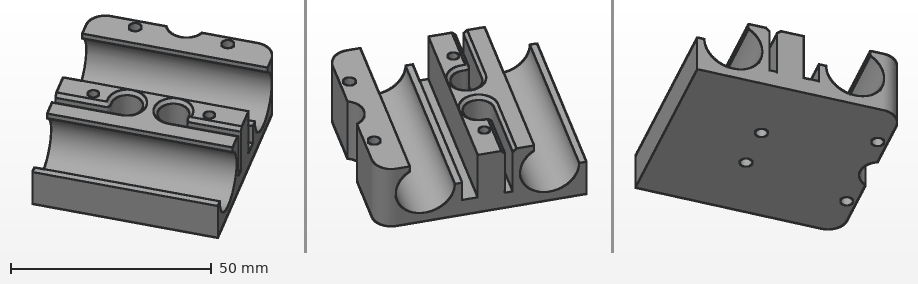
import cadquery as cq
import math

width = 48.0
length = 54.0
height = 18.5
corner_radius = 5.0

channel_radius = 7.6
channel_axis_height = 10.4
channel_spacing = 32.0
rear_channel_y = -12.5
front_channel_y = rear_channel_y - channel_spacing
lip_offset = 4.0

floor_height = 4.85
groove_rear_y = -22.0
groove_width = 4.0
block_rear_y = groove_rear_y - groove_width
slot_depth = height - floor_height

pocket_x = 6.0
pocket_y = -31.0
pocket_radius = 4.0
slot_width = 2.0
pocket_corner_radius = 1.0
mouth_chamfer = 0.95
selection_margin = 0.55

screw_hole_diameter = 3.2
rear_hole_x = 12.0
rear_hole_y = -2.5
pin_hole_diameter = 2.8
pin_hole_depth = 10.0
pin_hole_x = 15.0
pin_hole_y = -30.0
notch_radius = 5.0
notch_center_y = 2.0


def cut_box(rear_y, front_y, bottom):
    """Full-width box from a given level up to the top face."""
    return (
        cq.Workplane("XY", origin=(0, (rear_y + front_y) / 2, bottom))
        .box(width, rear_y - front_y, height - bottom, centered=(True, True, False))
    )


def channel(axis_y, front_y):
    """Round channel, open above from the lip edge forward to front_y."""
    bore = (
        cq.Workplane("YZ", origin=(-width / 2, axis_y, channel_axis_height))
        .circle(channel_radius)
        .extrude(width)
    )
    lip_edge_y = axis_y + lip_offset
    lip_bottom = channel_axis_height + math.sqrt(channel_radius**2 - lip_offset**2)
    mouth = cut_box(lip_edge_y, axis_y, lip_bottom)
    front_opening = cut_box(axis_y, front_y, channel_axis_height)
    return bore.union(mouth).union(front_opening)


def pocket_with_slot(side):
    """Keyhole pocket whose slot runs to the side given by the sign of side."""
    center_x = side * pocket_x
    wall_x = center_x + side * pocket_radius
    front_y = pocket_y - pocket_radius
    slot_rear_y = front_y + slot_width
    side_x = side * width / 2
    bend_y = slot_rear_y + pocket_corner_radius
    bend_x = wall_x + side * pocket_corner_radius
    bend_inset = pocket_corner_radius * (1 - math.sqrt(0.5))
    diagonal = pocket_radius * math.sqrt(0.5)
    return (
        cq.Workplane("XY", origin=(0, 0, floor_height))
        .moveTo(side_x, front_y)
        .lineTo(center_x, front_y)
        .threePointArc((center_x - side * diagonal, pocket_y + diagonal), (wall_x, pocket_y))
        .lineTo(wall_x, bend_y)
        .threePointArc((wall_x + side * bend_inset, slot_rear_y + bend_inset), (bend_x, slot_rear_y))
        .lineTo(side_x, slot_rear_y)
        .close()
        .extrude(slot_depth)
    )


def mouth_edges(part, side):
    """Top edges of one pocket and its slot."""
    inner_x = side * (pocket_x - pocket_radius - selection_margin)
    outer_x = side * (width / 2 - selection_margin)
    selection = cq.selectors.BoxSelector(
        (min(inner_x, outer_x), pocket_y - pocket_radius - selection_margin, height - selection_margin),
        (max(inner_x, outer_x), pocket_y + pocket_radius + selection_margin, height + selection_margin),
    )
    return part.faces(">Z").edges(selection)


def holes(points, diameter, depth):
    """Vertical holes drilled down from the top face."""
    return (
        cq.Workplane("XY", origin=(0, 0, height))
        .pushPoints(points)
        .circle(diameter / 2)
        .extrude(-depth)
    )


body = (
    cq.Workplane("XY")
    .box(width, length, height, centered=(True, False, False))
    .translate((0, -length, 0))
    .edges("|Z and >Y")
    .fillet(corner_radius)
)

for side in (-1, 1):
    body = body.cut(pocket_with_slot(side))
    body = mouth_edges(body, side).chamfer(mouth_chamfer)

body = body.cut(channel(rear_channel_y, block_rear_y))
body = body.cut(channel(front_channel_y, -length))
body = body.cut(cut_box(groove_rear_y, block_rear_y, floor_height))

notch = cq.Workplane("XY").center(0, notch_center_y).circle(notch_radius).extrude(height)
body = body.cut(notch)

screw_points = [(side * pocket_x, pocket_y) for side in (-1, 1)]
screw_points += [(side * rear_hole_x, rear_hole_y) for side in (-1, 1)]
pin_points = [(side * pin_hole_x, pin_hole_y) for side in (-1, 1)]
body = body.cut(holes(screw_points, screw_hole_diameter, height))
body = body.cut(holes(pin_points, pin_hole_diameter, pin_hole_depth))

result = body